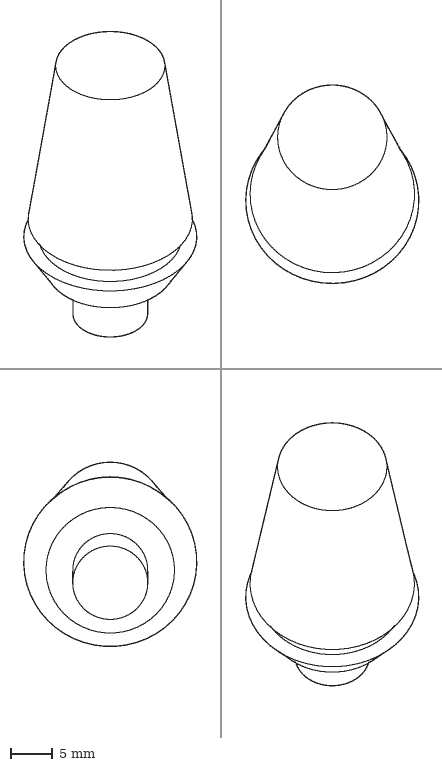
import cadquery as cq

total_height = 38.7
stem_height = 7.2
collar_height = 4.8
neck_height = 2.8
head_height = total_height - stem_height - collar_height - neck_height

stem_diameter = 9.15
collar_bottom_diameter = 15.65
collar_top_diameter = 21.1
neck_diameter = 17.4
head_bottom_diameter = 20.0
head_top_diameter = 13.3

sections = [
    (stem_height, stem_diameter, stem_diameter),
    (collar_height, collar_bottom_diameter, collar_top_diameter),
    (neck_height, neck_diameter, neck_diameter),
    (head_height, head_bottom_diameter, head_top_diameter),
]


def revolved_stack(sections):
    """Revolve the stepped and tapered half profile about the Z axis."""
    z = 0.0
    profile = [(0.0, z)]
    for height, bottom_diameter, top_diameter in sections:
        profile.append((bottom_diameter / 2, z))
        z += height
        profile.append((top_diameter / 2, z))
    profile.append((0.0, z))
    return cq.Workplane("XZ").polyline(profile).close().revolve(360, (0, 0), (0, 1))


result = revolved_stack(sections)